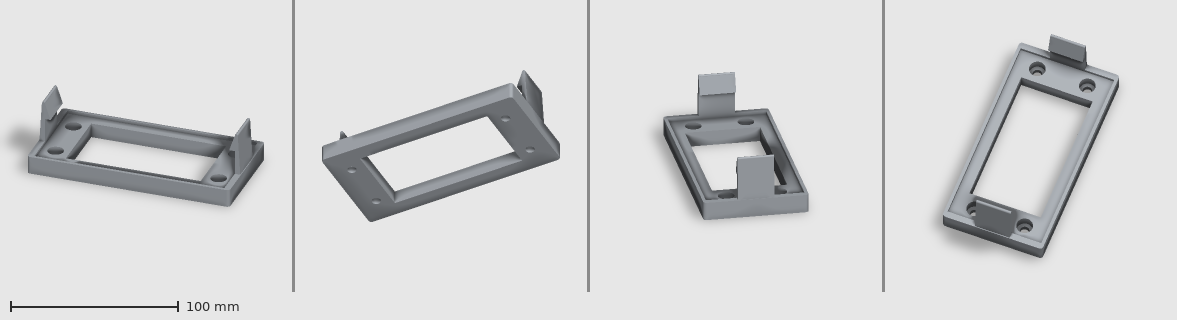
import cadquery as cq

length = 128.0
width = 64.0
plate_height = 11.3
corner_radius = 2.0

end_rim = 4.0
side_rim = 2.0
recess_depth = 2.0
recess_floor = plate_height - recess_depth

window_length = 85.2
window_width = 45.7

hole_spacing_x = 103.0
hole_spacing_y = 32.0
hole_diameter = 5.6
counterbore_diameter = 10.0
counterbore_depth = 6.0

tip_apex_height = 38.0
hook_width = 22.1
hook_base_offset = 0.5
hook_catch_offset = 7.5
hook_catch_height = 26.6
tip_outer_offset = 2.0
tip_apex_offset = 2.8
tip_inner_offset = 4.0
tip_shoulder_height = 37.1


def make_frame():
    frame = cq.Workplane("XY").box(length, width, plate_height, centered=(True, True, False))
    frame = frame.edges("|Z").fillet(corner_radius)
    recess = (
        cq.Workplane("XY")
        .workplane(offset=recess_floor)
        .rect(length - 2 * end_rim, width - 2 * side_rim)
        .extrude(recess_depth)
    )
    window = cq.Workplane("XY").rect(window_length, window_width).extrude(plate_height)
    frame = frame.cut(recess).cut(window)
    return (
        frame
        .copyWorkplane(cq.Workplane("XY", origin=(0, 0, recess_floor)))
        .rect(hole_spacing_x, hole_spacing_y, forConstruction=True)
        .vertices()
        .cboreHole(hole_diameter, counterbore_diameter, counterbore_depth)
    )


def make_left_hook():
    """Tapered arm with a rounded tip and a catch facing the window."""
    end = -length / 2
    return (
        cq.Workplane("XZ")
        .moveTo(end + hook_base_offset, recess_floor)
        .lineTo(end + hook_base_offset, plate_height)
        .lineTo(end + tip_outer_offset, tip_shoulder_height)
        .tangentArcPoint((end + tip_apex_offset, tip_apex_height), relative=False)
        .tangentArcPoint((end + tip_inner_offset, tip_shoulder_height), relative=False)
        .lineTo(end + hook_catch_offset, hook_catch_height)
        .lineTo(end + end_rim, hook_catch_height)
        .lineTo(end + end_rim, recess_floor)
        .close()
        .extrude(hook_width / 2, both=True)
    )


left_hook = make_left_hook()
right_hook = left_hook.mirror("YZ")
result = make_frame().union(left_hook).union(right_hook)